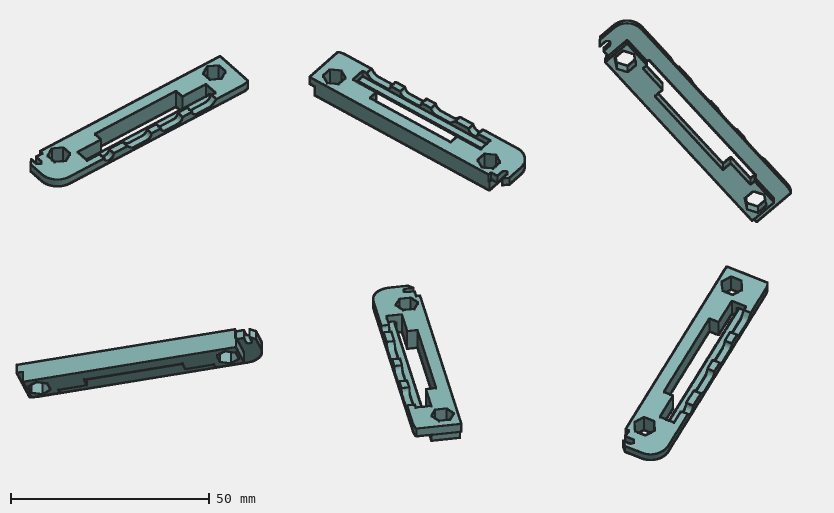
import cadquery as cq
import math

length = 62.25
width = 12.0
height = 5.5
base_height = 3.05
plate_height = height - base_height
middle_y = 32.6

base_width = 7.4
base_front = 4.6
base_back = 60.6

corner_radius = 5.05
back_edge_end = 11.6
step_depth = 1.0
step_y = 4.85
front_chamfer = 1.3
hook_slot_width = 1.5
hook_slot_tip = 3.75

hex_flats = 5.0
hex_x = 3.9
hex_pitch = 49.55

window_length = 40.9
window_left = 6.05
wide_window_length = 25.9
wide_window_left = 3.4
ledge_left = 7.95
rail_left = 10.0
ledge_thickness = 0.5

notch_radius = 1.5
ramp_end_length = notch_radius / math.sin(math.radians(45))


def box(x0, x1, y0, y1, z0, z1):
    """Block between two opposite corners."""
    return cq.Workplane("XY").box(x1 - x0, y1 - y0, z1 - z0, centered=False).translate((x0, y0, z0))


def make_plate():
    """Upper plate with its large arcs, side step and chamfered front corner."""
    arc_center_x = width - corner_radius
    arc_run = math.sqrt(corner_radius**2 - (back_edge_end - arc_center_x) ** 2)
    arc_start_y = length - arc_run
    return (
        cq.Workplane("XY", origin=(0, 0, base_height))
        .moveTo(step_depth + front_chamfer, 0)
        .lineTo(arc_center_x, 0)
        .radiusArc((width, corner_radius), -corner_radius)
        .lineTo(width, arc_start_y)
        .radiusArc((back_edge_end, length), -corner_radius)
        .lineTo(0, length)
        .lineTo(0, step_y)
        .lineTo(step_depth, step_y)
        .lineTo(step_depth, front_chamfer)
        .close()
        .extrude(plate_height)
    )


def make_base():
    """Narrow block whose front face starts to follow the large corner arc."""
    full_width = box(0, width, base_front, base_back, 0, base_height)
    rounded = full_width.edges("|Z and >X and <Y").fillet(corner_radius)
    return rounded.intersect(box(0, base_width, base_front, base_back, 0, base_height))


def make_hook_slot():
    """Round-ended slot that opens on the left side, at the top of the chamfer."""
    radius = hook_slot_width / 2
    center_x = hook_slot_tip - radius
    slot_top = front_chamfer + hook_slot_width
    straight = box(0, center_x, front_chamfer, slot_top, base_height, height)
    round_end = (
        cq.Workplane("XY", origin=(center_x, front_chamfer + radius, base_height))
        .circle(radius)
        .extrude(plate_height)
    )
    return straight.union(round_end)


def make_hex_holes():
    """Two hexagons with flats facing front and back."""
    hex_corners = hex_flats / math.cos(math.radians(30))
    return (
        cq.Workplane("XY")
        .pushPoints([(hex_x, middle_y + side * hex_pitch / 2) for side in (-1, 1)])
        .polygon(6, hex_corners)
        .extrude(height)
    )


def make_window(left, right, window_span, bottom):
    """Rectangular opening centred on the symmetry line."""
    half = window_span / 2
    return box(left, right, middle_y - half, middle_y + half, bottom, height)


def make_notch(front, back, front_ramp=False, back_ramp=False):
    """Rail notch: a flat floor with concave ends, each steep or on a ramp."""
    floor_z = height - notch_radius
    blend = notch_radius * math.sin(math.radians(45))
    ramp_z = height - blend
    front_floor = front + (ramp_end_length if front_ramp else notch_radius)
    back_floor = back - (ramp_end_length if back_ramp else notch_radius)

    profile = cq.Workplane("YZ", origin=(rail_left, 0, 0)).moveTo(front, height)
    if front_ramp:
        profile = profile.lineTo(front_floor - blend, ramp_z)
    profile = profile.radiusArc((front_floor, floor_z), -notch_radius)
    if back_floor - front_floor > 0.005:
        profile = profile.lineTo(back_floor, floor_z)
    if back_ramp:
        profile = profile.radiusArc((back_floor + blend, ramp_z), -notch_radius).lineTo(back, height)
    else:
        profile = profile.radiusArc((back, height), -notch_radius)
    return profile.close().extrude(width - rail_left)


result = make_plate().union(make_base())
result = result.cut(make_hook_slot())
result = result.cut(make_hex_holes())
result = result.cut(make_window(window_left, ledge_left, window_length, 0))
result = result.cut(make_window(wide_window_left, ledge_left, wide_window_length, 0))
result = result.cut(make_window(window_left, rail_left, window_length, base_height + ledge_thickness))

round_notch_back = 19.1
notches = [
    make_notch(44.1, 51.8, back_ramp=True),
    make_notch(34.2, 41.0),
    make_notch(23.4, 31.1, front_ramp=True),
    make_notch(round_notch_back - 2 * notch_radius, round_notch_back),
]
for notch in notches:
    result = result.cut(notch)